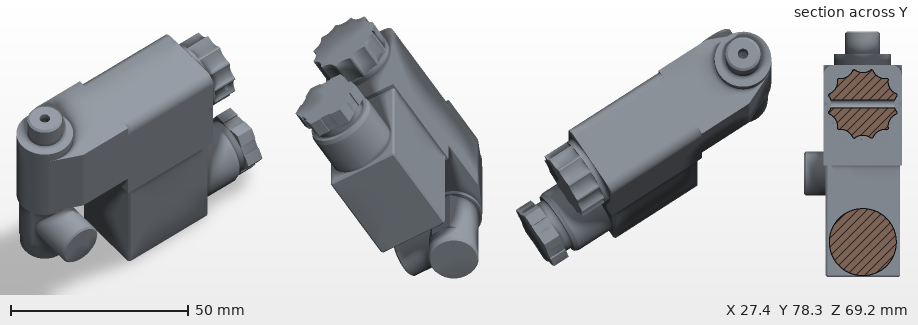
import cadquery as cq
import math


COIL_CENTER_X = -0.1
COIL_WIDTH = 21.0
COIL_FRONT = 22.0
COIL_BACK = 50.4
COIL_EDGE_CHAMFER = 0.5

BODY_WIDTH = 22.1
BODY_FRONT = 21.2
BODY_BACK = 51.6
BODY_BOTTOM = 31.45
BODY_TOP = 59.8
BODY_TOP_ROUND = 3.05
ARM_BOTTOM = 37.9
ARM_TAPER_START = 5.2
ARM_TIP_HALF_WIDTH = 7.0
ARM_TIP_Y = -4.1
ARM_BEND_RADIUS = 2.2

COLLAR_DIAMETER = 16.0
COLLAR_BOTTOM = 36.6
COLLAR_TOP = 62.8
PIN_DIAMETER = 9.8
PIN_TIP_DIAMETER = 8.5
PIN_TOP = 69.2
PIN_CHAMFER_HEIGHT = 0.5
PIN_HOLE_DIAMETER = 3.0
PIN_HOLE_DEPTH = 3.1
DRILL_TIP_ANGLE = 118

SLEEVE_DIAMETER = 14.0
SLEEVE_BOTTOM = 16.05
SLEEVE_CHAMFER_HEIGHT = 0.7
SLEEVE_CHAMFER_WIDTH = 0.4
WRENCH_BOTTOM = 21.75

PORT_DIAMETER = 12.5
PORT_END = 16.4
PORT_HEIGHT = 29.2
PORT_CHAMFER = 0.5

GLAND_HEIGHT = 9.9
GLAND_DIAMETER = 19.0
GLAND_END = 62.7
GLAND_CHAMFER_LENGTH = 1.2
GLAND_CHAMFER_WIDTH = 0.5
NECK_DIAMETER = 15.6
NUT_START = 65.25
NUT_END = 70.3
NUT_ACROSS_CORNERS = 19.6
NUT_SIDES = 6
NUT_NOTCH_DEPTH = 0.5

KNOB_DIAMETER = 20.0
KNOB_FLANGE_END = 53.2
KNOB_END = 60.6
SCALLOP_COUNT = 12
SCALLOP_DIAMETER = 7.3
SCALLOP_CHORD = 4.7
KNOB_HOLE_DIAMETER = 2.0
KNOB_HOLE_Y = 58.4

KNOB_HEIGHT = (BODY_TOP + ARM_BOTTOM) / 2


def block(width, y_front, y_back, z_bottom, z_top):
    """Box centred on X between the given Y and Z limits."""
    return (
        cq.Workplane("XY", origin=(0, (y_front + y_back) / 2, z_bottom))
        .rect(width, y_back - y_front)
        .extrude(z_top - z_bottom)
    )


def upright_cylinder(diameter, z_bottom, z_top):
    """Cylinder on the Z axis."""
    return cq.Workplane("XY", origin=(0, 0, z_bottom)).circle(diameter / 2).extrude(z_top - z_bottom)


def rear_plane(y, z):
    """Workplane at the given Y and Z that extrudes towards +Y."""
    return cq.Workplane("XZ", origin=(0, y, z)).transformed(rotate=(0, 180, 0))


def rear_cylinder(diameter, y_start, y_end, z):
    """Cylinder along Y at the given height."""
    return rear_plane(y_start, z).circle(diameter / 2).extrude(y_end - y_start)


def make_coil():
    coil = block(COIL_WIDTH, COIL_FRONT, COIL_BACK, 0, BODY_BOTTOM).translate((COIL_CENTER_X, 0, 0))
    return coil.edges("|Z").chamfer(COIL_EDGE_CHAMFER).faces("<Z").edges().chamfer(COIL_EDGE_CHAMFER)


def make_body():
    housing = block(BODY_WIDTH, BODY_FRONT, BODY_BACK, BODY_BOTTOM, BODY_TOP)
    housing = housing.faces(">Z").edges("|Y").fillet(BODY_TOP_ROUND)

    half_width = BODY_WIDTH / 2
    arm = (
        cq.Workplane("XY", origin=(0, 0, ARM_BOTTOM))
        .polyline([
            (-half_width, BODY_FRONT),
            (-half_width, ARM_TAPER_START),
            (-ARM_TIP_HALF_WIDTH, ARM_TIP_Y),
            (ARM_TIP_HALF_WIDTH, ARM_TIP_Y),
            (half_width, ARM_TAPER_START),
            (half_width, BODY_FRONT),
        ])
        .close()
        .extrude(BODY_TOP - ARM_BOTTOM)
    )
    bends = cq.selectors.BoxSelector(
        (-BODY_WIDTH, 0, 0),
        (BODY_WIDTH, 2 * ARM_TAPER_START, PIN_TOP),
    )
    return housing.union(arm.edges("|Z").edges(bends).fillet(ARM_BEND_RADIUS))


def make_pin_and_collar():
    pin = upright_cylinder(PIN_DIAMETER, COLLAR_BOTTOM, PIN_TOP)
    chamfer_width = (PIN_DIAMETER - PIN_TIP_DIAMETER) / 2
    pin = pin.faces(">Z").chamfer(PIN_CHAMFER_HEIGHT, chamfer_width)
    return pin.union(upright_cylinder(COLLAR_DIAMETER, COLLAR_BOTTOM, COLLAR_TOP))


def make_pin_hole():
    """Blind drilled hole in the pin, ending in a cone."""
    radius = PIN_HOLE_DIAMETER / 2
    tip_length = radius / math.tan(math.radians(DRILL_TIP_ANGLE / 2))
    wall_bottom = PIN_TOP - PIN_HOLE_DEPTH
    return (
        cq.Workplane("XZ")
        .polyline([
            (0, PIN_TOP),
            (radius, PIN_TOP),
            (radius, wall_bottom),
            (0, wall_bottom - tip_length),
        ])
        .close()
        .revolve(360, (0, 0, 0), (0, 1, 0))
    )


def make_sleeve():
    """Round sleeve whose front and back carry three sides of a circumscribed octagon each."""
    sleeve = upright_cylinder(SLEEVE_DIAMETER, SLEEVE_BOTTOM, COLLAR_BOTTOM)
    sleeve = sleeve.faces("<Z").chamfer(SLEEVE_CHAMFER_HEIGHT, SLEEVE_CHAMFER_WIDTH)

    radius = SLEEVE_DIAMETER / 2
    half_flat = radius * math.tan(math.pi / 8)
    tangent = radius * math.cos(math.pi / 4)
    wrench_faces = (
        cq.Workplane("XY", origin=(0, 0, WRENCH_BOTTOM))
        .polyline([
            (-tangent, -tangent),
            (-half_flat, -radius),
            (half_flat, -radius),
            (tangent, -tangent),
            (tangent, tangent),
            (half_flat, radius),
            (-half_flat, radius),
            (-tangent, tangent),
        ])
        .close()
        .extrude(COLLAR_BOTTOM - WRENCH_BOTTOM)
    )
    return sleeve.union(wrench_faces)


def make_port():
    port = cq.Workplane("YZ", origin=(0, 0, PORT_HEIGHT)).circle(PORT_DIAMETER / 2).extrude(PORT_END)
    return port.faces(">X").chamfer(PORT_CHAMFER)


def make_nut():
    """Hexagonal gland nut with a shallow notch across the middle third of each side."""
    length = NUT_END - NUT_START
    nut = rear_plane(NUT_START, GLAND_HEIGHT).polygon(NUT_SIDES, NUT_ACROSS_CORNERS).extrude(length)

    side = NUT_ACROSS_CORNERS / 2
    apothem = side * math.cos(math.pi / NUT_SIDES)
    notch = (
        rear_plane(NUT_START, GLAND_HEIGHT)
        .center(0, apothem)
        .rect(side / 3, 2 * NUT_NOTCH_DEPTH)
        .extrude(length)
    )
    axis_start = (0, 0, GLAND_HEIGHT)
    axis_end = (0, 1, GLAND_HEIGHT)
    for i in range(NUT_SIDES):
        nut = nut.cut(notch.rotate(axis_start, axis_end, i * 360 / NUT_SIDES))
    return nut


def make_gland():
    gland = rear_cylinder(GLAND_DIAMETER, COIL_BACK, GLAND_END, GLAND_HEIGHT)
    gland = gland.faces(">Y").chamfer(GLAND_CHAMFER_LENGTH, GLAND_CHAMFER_WIDTH)
    neck = rear_cylinder(NECK_DIAMETER, COIL_BACK, NUT_START, GLAND_HEIGHT)
    return gland.union(neck).union(make_nut())


def make_knob():
    """Round knob with a plain flange, a scalloped grip and a cross hole along X."""
    knob = rear_cylinder(KNOB_DIAMETER, BODY_BACK, KNOB_END, KNOB_HEIGHT)

    half_chord = SCALLOP_CHORD / 2
    chord_distance = math.sqrt((KNOB_DIAMETER / 2) ** 2 - half_chord ** 2)
    scallop_distance = chord_distance + math.sqrt((SCALLOP_DIAMETER / 2) ** 2 - half_chord ** 2)
    scallops = (
        rear_plane(KNOB_FLANGE_END, KNOB_HEIGHT)
        .polarArray(scallop_distance, 0, 360, SCALLOP_COUNT)
        .circle(SCALLOP_DIAMETER / 2)
        .extrude(KNOB_END - KNOB_FLANGE_END)
    )
    cross_hole = (
        cq.Workplane("YZ", origin=(0, KNOB_HOLE_Y, KNOB_HEIGHT))
        .circle(KNOB_HOLE_DIAMETER / 2)
        .extrude(KNOB_DIAMETER / 2, both=True)
    )
    return knob.cut(scallops).cut(cross_hole)


result = (
    make_coil()
    .union(make_body())
    .union(make_pin_and_collar())
    .union(make_sleeve())
    .union(make_port())
    .union(make_gland())
    .union(make_knob())
    .cut(make_pin_hole())
)